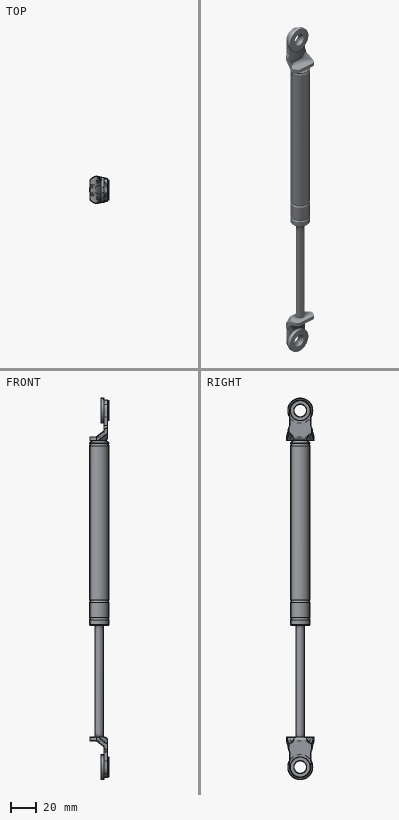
import cadquery as cq
import math

total_length = 305.0

eye_bore_diameter = 10.0
washer_diameter = 20.0
washer_thickness = 2.5
boss_diameter = 16.0
boss_height = 1.0
eye_z = washer_diameter / 2

sheet = 3.0
gusset_thickness = 2.4
lug_front_x = 3.75
lug_back_x = lug_front_x + sheet
lug_half_width = 8.5
neck_z = 22.0
taper_end_z = 28.5
bracket_half_width = 11.0
bend_half_width = 9.0
bracket_top_z = 34.0
base_bottom_z = bracket_top_z - sheet
base_front_x = -7.4
base_front_half_width = 7.7
base_corner_x = -2.0
corner_bulge = 0.5
outer_bend_radius = 3.0
gusset_leg = 6.0
relief_leg = gusset_leg + 2 * sheet - math.sqrt(3) * gusset_thickness

rod_diameter = 7.0
cylinder_radius = 7.75
cylinder_bottom_z = 123.0
cylinder_top_z = total_length - bracket_top_z
end_chamfer = 0.8
groove_width = 2.0
groove_depth = 0.5
groove_centers_z = (128.7, 142.6, 267.9)
taper_height = 2.0
taper_inset = 2.0


def corner_tetrahedron(x, y, z, leg):
    """Right-angled corner piece: three equal legs run from (x, y, z) along -X, -Y and -Z."""
    corner = cq.Vector(x, y, z)
    tips = [corner - cq.Vector(leg, 0, 0), corner - cq.Vector(0, leg, 0), corner - cq.Vector(0, 0, leg)]
    points = [corner, *tips]
    faces = []
    for left_out in points:
        triangle = [point for point in points if point is not left_out]
        faces.append(cq.Face.makeFromWires(cq.Wire.makePolygon(triangle, close=True)))
    return cq.Workplane(cq.Solid.makeSolid(cq.Shell.makeShell(faces)))


def eye_disc(front_x, diameter, length):
    """Disc on the axis of the lower eye."""
    plane = cq.Workplane("YZ", origin=(front_x, 0, eye_z))
    return plane.circle(diameter / 2).extrude(length)


def make_bracket():
    """Lower bracket: a base plate bent down into an eye lug, with a pressed gusset at each side."""
    middle_x = (base_front_x + base_corner_x) / 2 - corner_bulge
    middle_y = (base_front_half_width + bracket_half_width) / 2 + corner_bulge
    base = (
        cq.Workplane("XY", origin=(0, 0, base_bottom_z))
        .moveTo(base_front_x, -base_front_half_width)
        .threePointArc((middle_x, -middle_y), (base_corner_x, -bracket_half_width))
        .lineTo(lug_back_x, -bend_half_width)
        .lineTo(lug_back_x, bend_half_width)
        .lineTo(base_corner_x, bracket_half_width)
        .threePointArc((middle_x, middle_y), (base_front_x, base_front_half_width))
        .close()
        .extrude(sheet)
    )
    plan = base.faces(">Z").wires().toPending().extrude(-bracket_top_z, combine=False)
    lug_envelope = (
        cq.Workplane("YZ", origin=(base_front_x, 0, 0))
        .moveTo(-lug_half_width, eye_z)
        .threePointArc((0, eye_z - lug_half_width), (lug_half_width, eye_z))
        .lineTo(lug_half_width, neck_z)
        .lineTo(bracket_half_width, taper_end_z)
        .lineTo(bracket_half_width, bracket_top_z)
        .lineTo(-bracket_half_width, bracket_top_z)
        .lineTo(-bracket_half_width, taper_end_z)
        .lineTo(-lug_half_width, neck_z)
        .close()
        .extrude(lug_back_x - base_front_x)
        .intersect(plan)
    )
    lug_slab = (
        cq.Workplane("XY", origin=(lug_front_x, 0, 0))
        .box(sheet, 2 * bracket_half_width, bracket_top_z, centered=(False, True, False))
    )
    bracket = base.union(lug_envelope.intersect(lug_slab))
    bend = bracket.edges(cq.selectors.NearestToPointSelector((lug_back_x, 0, bracket_top_z)))
    bracket = bend.fillet(outer_bend_radius)

    gusset = corner_tetrahedron(lug_front_x, bracket_half_width, base_bottom_z, gusset_leg)
    gusset = gusset.intersect(lug_envelope)
    relief = corner_tetrahedron(lug_back_x, bracket_half_width, bracket_top_z, relief_leg)
    bracket = bracket.union(gusset).union(gusset.mirror("XZ"))
    bracket = bracket.cut(relief).cut(relief.mirror("XZ"))

    bracket = bracket.union(eye_disc(lug_back_x, boss_diameter, boss_height))
    return bracket.cut(eye_disc(lug_front_x, eye_bore_diameter, sheet + boss_height))


def make_washer():
    """Lower eye washer, lying against the front of the lug."""
    washer_front_x = lug_front_x - washer_thickness
    washer = eye_disc(washer_front_x, washer_diameter, washer_thickness)
    return washer.cut(eye_disc(washer_front_x, eye_bore_diameter, washer_thickness))


def make_rod():
    """Piston rod between the lower bracket and the cylinder."""
    plane = cq.Workplane("XY", origin=(0, 0, bracket_top_z))
    return plane.circle(rod_diameter / 2).extrude(cylinder_bottom_z - bracket_top_z)


def make_cylinder():
    """Cylinder tube with rolled-in grooves, a chamfered rod end and a tapered closed end."""
    cylinder = (
        cq.Workplane("XY", origin=(0, 0, cylinder_bottom_z))
        .circle(cylinder_radius)
        .extrude(cylinder_top_z - cylinder_bottom_z)
        .faces("<Z")
        .chamfer(end_chamfer)
        .faces(">Z")
        .chamfer(taper_height, taper_inset)
    )
    for center_z in groove_centers_z:
        groove = (
            cq.Workplane("XZ")
            .moveTo(cylinder_radius, center_z - groove_width / 2)
            .threePointArc(
                (cylinder_radius - groove_depth, center_z),
                (cylinder_radius, center_z + groove_width / 2),
            )
            .close()
            .revolve(360, (0, 0, 0), (0, 1, 0))
        )
        cylinder = cylinder.cut(groove)
    return cylinder


def to_upper_end(body):
    """Mirror image of a lower-end body at the upper end of the strut."""
    return body.mirror("XY", (0, 0, total_length / 2))


end_bodies = []
for lower_body in (make_bracket(), make_washer()):
    end_bodies.append(lower_body.val())
    end_bodies.append(to_upper_end(lower_body).val())

rod = make_rod()
cylinder = make_cylinder()

result = cq.Compound.makeCompound([rod.val(), cylinder.val(), *end_bodies])